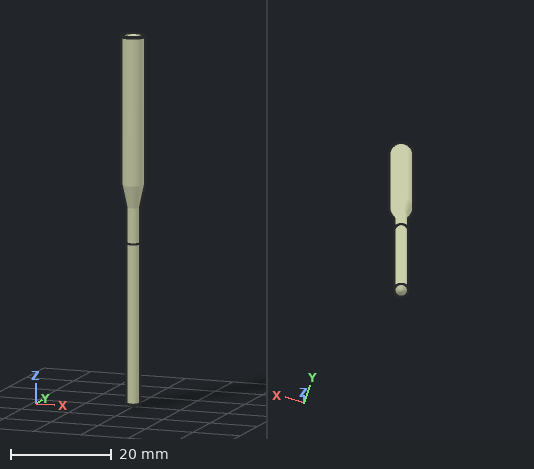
import cadquery as cq
import math

cutting_diameter = 2.82
cutting_length = 33.15
point_angle = 130.0

total_length = 75.3
shank_diameter = 4.78
shank_length = 30.3
shank_chamfer = 0.25
taper_length = 4.6
neck_diameter = cutting_diameter

shank_radius = shank_diameter / 2
neck_radius = neck_diameter / 2
cutting_radius = cutting_diameter / 2
point_height = cutting_radius / math.tan(math.radians(point_angle / 2))
shank_bottom = total_length - shank_length
taper_bottom = shank_bottom - taper_length


def revolve_about_z(outline):
    """Turn a closed (radius, height) outline a full turn around the Z axis."""
    return cq.Workplane("XZ").polyline(outline).close().revolve(360, (0, 0), (0, 1))


def make_shank():
    """Cylindrical shank with a chamfered end, tapering down to a straight neck."""
    outline = [
        (0, cutting_length),
        (neck_radius, cutting_length),
        (neck_radius, taper_bottom),
        (shank_radius, shank_bottom),
        (shank_radius, total_length - shank_chamfer),
        (shank_radius - shank_chamfer, total_length),
        (0, total_length),
    ]
    return revolve_about_z(outline)


def make_cutting_section():
    """Plain cutting cylinder that ends in the conical point."""
    outline = [
        (0, 0),
        (cutting_radius, point_height),
        (cutting_radius, cutting_length),
        (0, cutting_length),
    ]
    return revolve_about_z(outline)


shank = make_shank()
cutting_section = make_cutting_section()

result = cq.Compound.makeCompound([shank.val(), cutting_section.val()])